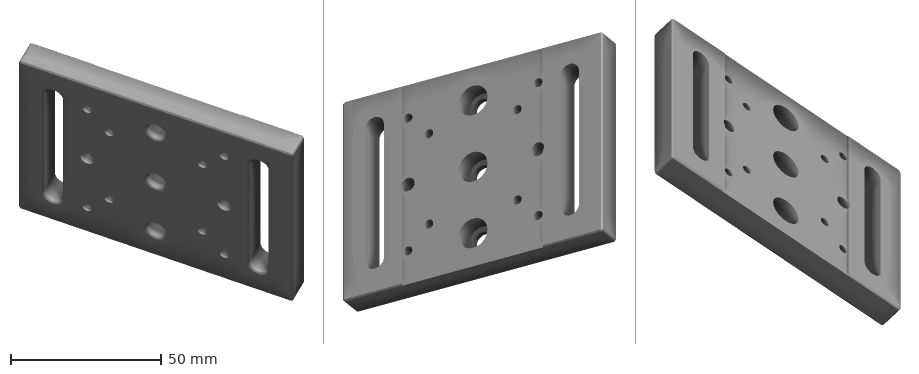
import cadquery as cq

width = 100.0
thickness = 9.5
height = 75.0
corner_radius = 1.0
edge_chamfer = 0.5

channel_width = 54.0
channel_depth = edge_chamfer

hole_pitch = 25.0
clearance_diameter = 7.0
mouth_chamfer = 0.5
counterbore_diameter = 11.0
counterbore_floor = 2.5
slot_spacing = 75.0
dowel_diameter = 5.0
tapped_diameter = 3.3
inner_hole_offset = 17.0

slot_length = 2 * hole_pitch + clearance_diameter
front_y = -thickness / 2
back_y = thickness / 2


def square_pattern(offset):
    """Four corner points of a square centred on the plate."""
    return [(x, z) for x in (-offset, offset) for z in (-offset, offset)]


def front_plane():
    """Workplane on the front face: local x is X, local y is Z, facing out of the part."""
    return cq.Workplane("XZ", origin=(0, front_y, 0))


def make_plate():
    """Plate with rounded corners and chamfered front and back rims."""
    block = cq.Workplane("XY").box(width, thickness, height)
    return block.edges("|Y").fillet(corner_radius).faces("<Y or >Y").chamfer(edge_chamfer)


def make_channel():
    """Cutter for the full-height channel in the back face."""
    channel = cq.Workplane("XY").box(channel_width, channel_depth, height)
    return channel.translate((0, back_y - channel_depth / 2, 0))


def round_holes(points, diameter):
    """Cylinders through the full thickness."""
    return front_plane().pushPoints(points).circle(diameter / 2).extrude(-thickness)


def mouth_cones(points):
    """Cones that chamfer the front mouths of the clearance holes."""
    mouths = front_plane().pushPoints(points).circle(clearance_diameter / 2 + mouth_chamfer)
    return mouths.extrude(-mouth_chamfer, taper=45)


def counterbores(points):
    """Screw-head pockets entering the clearance holes from the back."""
    floor = front_plane().workplane(offset=-counterbore_floor).pushPoints(points)
    return floor.circle(counterbore_diameter / 2).extrude(counterbore_floor - thickness)


def slots(points):
    """Vertical slots through the plate with chamfered front mouths."""
    through = front_plane().pushPoints(points).slot2D(slot_length, clearance_diameter, 90)
    mouth_length = slot_length + 2 * mouth_chamfer
    mouth_width = clearance_diameter + 2 * mouth_chamfer
    mouths = front_plane().pushPoints(points).slot2D(mouth_length, mouth_width, 90)
    return through.extrude(-thickness).union(mouths.extrude(-mouth_chamfer, taper=45))


clearance_points = [(0, z) for z in (-hole_pitch, 0, hole_pitch)]
dowel_points = [(-hole_pitch, 0), (hole_pitch, 0)]
tapped_points = square_pattern(hole_pitch) + square_pattern(inner_hole_offset)
slot_points = [(-slot_spacing / 2, 0), (slot_spacing / 2, 0)]

result = (
    make_plate()
    .cut(make_channel())
    .cut(slots(slot_points))
    .cut(round_holes(clearance_points, clearance_diameter))
    .cut(mouth_cones(clearance_points))
    .cut(counterbores(clearance_points))
    .cut(round_holes(dowel_points, dowel_diameter))
    .cut(round_holes(tapped_points, tapped_diameter))
)